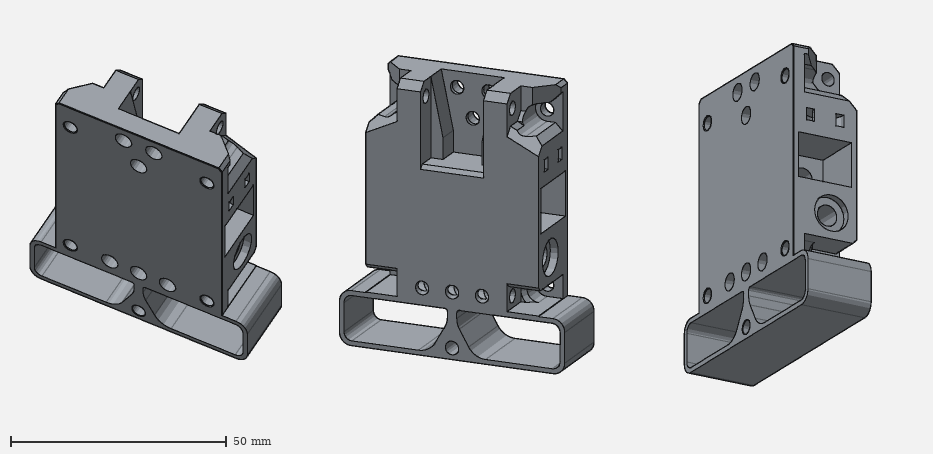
import cadquery as cq
import math

height = 66.5
depth = 17.0
body_width = 43.9
handle_width = 57.2
handle_height = 13.5
body_half = body_width / 2

handle_wall = 1.2
handle_inner_radius = 2
handle_outer_radius = 3.0
pick = 0.05
post_half = 1.2
post_bend_z = 8.9
post_flare_angle = 30
post_top_radius = 0.65
post_bend_radius = 5.0
post_foot_radius = 5.0

body_corner_chamfer = 0.9
front_edge_chamfer = 0.165

slot_half = 8
slot_front = 5.05
slot_floor = 46.55
slot_edge_chamfer = 1.0
wedge_width = 3.05
wedge_height = 14.6
wedge_back = 11.05

ear_half = 13.95
ear_front = 9.05
ear_chamfer = 2
recess_front = 3.0
screw_x = 17.95
upper_screw_z = 59.45
lower_screw_z = 16.55
screw_clearance_radius = 2.9
recess_lip = 1.85
shoulder_rise = 3.8
ear_slope = 2
lid_corner = 5.05
lower_edge_chamfer = 1.0
lower_cone_depth = 1.1

hole_dia = 3.3
insert_dia = 4.25
insert_depth = 4
corner_rim_dia = 3.7
base_rim_dia = 3.6
ear_hole_y = 13.9
upper_ear_hole_z = 62.5
base_hole_z = 2.85
upper_pair_x = 4
upper_pair_z = 62.5
upper_middle_z = 55.45
lower_row_x = 7.6

bolt_dia = 5.2
bolt_head_dia = 9.0
bolt_head_depth = 2
bolt_y = 10.2
upper_bolt_z = 38.9
lower_bolt_z = 25.95
window_front = 1.4
window_back = 15.6
window_height = 11.1
window_depth = 13.3
tie_y = 8.5
tie_outer_radius = 5.0
tie_inner_radius = 2.9
tie_bottom = 47.9
tie_height = 3.0


def box(x0, x1, y0, y1, z0, z1):
    """Box between two opposite corners."""
    return cq.Workplane("XY").box(x1 - x0, y1 - y0, z1 - z0, centered=False).translate((x0, y0, z0))


def along_y(profile, y0, y1):
    """Extrude a profile drawn in X and Z from y0 back to y1."""
    return profile.extrude(y0 - y1).translate((0, y0, 0))


def prism_x(points, x0, x1):
    """Prism along X over an outline of (Y, Z) points."""
    return cq.Workplane("YZ").polyline(points).close().extrude(x1 - x0).translate((x0, 0, 0))


def round_y(x, z, radius, y0, y1):
    """Round bar along Y."""
    return along_y(cq.Workplane("XZ").center(x, z).circle(radius), y0, y1)


def round_x(y, z, dia, x0, x1):
    """Round bar along X."""
    return cq.Workplane("YZ").center(y, z).circle(dia / 2).extrude(x1 - x0).translate((x0, 0, 0))


def both_sides(shape):
    return shape.union(shape.mirror("YZ"))


def handle():
    frame = box(-handle_width / 2, handle_width / 2, 0, depth, 0, handle_height)
    frame = frame.edges("|Y").fillet(handle_outer_radius)
    outer = handle_width / 2 - handle_wall
    top = handle_height - handle_wall
    foot = post_half + (post_bend_z - handle_wall) * math.tan(math.radians(post_flare_angle))
    window = along_y(
        cq.Workplane("XZ")
        .polyline([(outer, handle_wall), (outer, top), (post_half, top),
                   (post_half, post_bend_z), (foot, handle_wall)])
        .close(), 0, depth)
    window = window.edges("|Y and >X").fillet(handle_inner_radius)
    rounded = [(post_half, top, post_top_radius), (post_half, post_bend_z, post_bend_radius),
               (foot, handle_wall, post_foot_radius)]
    for x, z, radius in rounded:
        corner = cq.selectors.BoxSelector((x - pick, -pick, z - pick), (x + pick, depth + pick, z + pick))
        window = window.edges("|Y").edges(corner).fillet(radius)
    return frame.cut(both_sides(window))


def body():
    block = box(-body_half, body_half, 0, depth, handle_height, height)
    block = block.edges("|Y and >Z").chamfer(body_corner_chamfer)
    return block.faces("<Y").edges("not <Z").chamfer(front_edge_chamfer)


def top_slot():
    slot = box(-slot_half, slot_half, slot_front, depth, slot_floor, height)
    wedge = along_y(
        cq.Workplane("XZ")
        .polyline([(slot_half, height), (slot_half - wedge_width, height - wedge_height),
                   (slot_half - wedge_width, slot_floor), (slot_half, slot_floor)])
        .close(), slot_front, wedge_back)
    edge = prism_x([(depth, slot_floor), (depth, slot_floor - slot_edge_chamfer),
                    (depth - slot_edge_chamfer, slot_floor)], -slot_half, slot_half)
    return slot.cut(both_sides(wedge)).union(edge)


def upper_recess():
    """Relief outside one ear: screw clearance, ear side and slanted lid corner."""
    floor = upper_screw_z - screw_clearance_radius
    ceiling = upper_screw_z + screw_clearance_radius
    lip_x = body_half - recess_lip
    clearance = along_y(
        cq.Workplane("XZ")
        .moveTo(body_half, floor - recess_lip).lineTo(lip_x, floor).lineTo(screw_x, floor)
        .threePointArc((screw_x - screw_clearance_radius, upper_screw_z), (screw_x, ceiling))
        .lineTo(lip_x, ceiling).lineTo(body_half, ceiling + recess_lip).close(), recess_front, depth)

    shoulder_outer = floor - recess_lip
    shoulder_inner = shoulder_outer + shoulder_rise
    ear_side = along_y(
        cq.Workplane("XZ")
        .polyline([(ear_half, height), (ear_half, shoulder_inner), (screw_x, floor),
                   (lip_x, floor), (body_half, floor), (body_half, height)])
        .close(), ear_front, depth)
    ramp = prism_x([(ear_front, shoulder_inner + ear_slope), (ear_front + ear_slope, shoulder_inner),
                    (ear_front + ear_slope, floor), (ear_front, floor)], ear_half, screw_x)

    lid_edge = (
        cq.Workplane("XY").workplane(offset=upper_screw_z)
        .polyline([(body_half, ear_front - lid_corner), (body_half, ear_front),
                   (body_half - lid_corner, ear_front)])
        .close().extrude(height - upper_screw_z))

    outline = [(depth - ear_chamfer, 0), (depth, -ear_chamfer), (depth, ear_chamfer),
               (depth - 2 * ear_chamfer, ear_chamfer)]
    shoulder_edge = (
        cq.Workplane("YZ", origin=(ear_half, 0, shoulder_inner)).polyline(outline).close()
        .workplane(offset=body_half - ear_half)
        .polyline([(y, z - shoulder_rise) for y, z in outline]).close().loft(ruled=True))
    return clearance.union(ear_side.cut(ramp)).union(lid_edge).union(shoulder_edge)


def lower_recess():
    """Relief below the body side, over the handle."""
    top = lower_screw_z + screw_clearance_radius
    bottom = lower_screw_z - screw_clearance_radius
    clearance = round_y(screw_x, lower_screw_z, screw_clearance_radius, recess_front, depth)
    clearance = clearance.union(box(screw_x, body_half, recess_front, depth, bottom, top))
    cone = cq.Workplane(cq.Solid.makeCone(
        screw_clearance_radius, screw_x - ear_half, lower_cone_depth,
        cq.Vector(screw_x, ear_front - lower_cone_depth, lower_screw_z), cq.Vector(0, 1, 0)))
    clearance = clearance.union(cone.intersect(box(ear_half, body_half, 0, depth, bottom, top)))
    ear_side = box(ear_half, body_half, ear_front, depth, bottom, top)
    edge = prism_x([(depth, top), (depth, top + lower_edge_chamfer), (depth - lower_edge_chamfer, top)],
                   ear_half, body_half)
    return clearance.union(ear_side).union(edge)


def ear_back_chamfer():
    return prism_x([(depth, height), (depth - ear_chamfer, height), (depth, height - ear_chamfer)],
                   -body_half, body_half)


def rimmed_hole(x, z, rim_dia):
    """Through hole along Y with a small 45 degree chamfer on the front face."""
    rim_depth = (rim_dia - hole_dia) / 2
    rim = cq.Solid.makeCone(rim_dia / 2, hole_dia / 2, rim_depth, cq.Vector(x, 0, z), cq.Vector(0, 1, 0))
    return round_y(x, z, hole_dia / 2, 0, depth).union(cq.Workplane(rim))


def insert_hole(x, z):
    """Through hole along Y with a wider seat for a threaded insert at the front."""
    return round_y(x, z, hole_dia / 2, 0, depth).union(round_y(x, z, insert_dia / 2, 0, insert_depth))


def front_holes():
    holes = rimmed_hole(0, base_hole_z, base_rim_dia)
    for x in (-screw_x, screw_x):
        for z in (lower_screw_z, upper_screw_z):
            holes = holes.union(rimmed_hole(x, z, corner_rim_dia))
    inserts = [(-upper_pair_x, upper_pair_z), (upper_pair_x, upper_pair_z), (0, upper_middle_z),
               (-lower_row_x, lower_screw_z), (0, lower_screw_z), (lower_row_x, lower_screw_z)]
    for x, z in inserts:
        holes = holes.union(insert_hole(x, z))
    return holes


def cross_holes():
    """Holes along X: ear pins, a bolt with a seat for its head at each side, and a bolt between windows."""
    holes = round_x(bolt_y, upper_bolt_z, bolt_dia, -body_half, body_half)
    holes = holes.union(round_x(bolt_y, lower_bolt_z, bolt_dia, -body_half, body_half))
    for z in (lower_screw_z, upper_ear_hole_z):
        holes = holes.union(round_x(ear_hole_y, z, hole_dia, -body_half, body_half))
    seat = round_x(bolt_y, lower_bolt_z, bolt_head_dia, body_half - bolt_head_depth, body_half)
    window = box(body_half - window_depth, body_half, window_front, window_back,
                 upper_bolt_z - window_height / 2, upper_bolt_z + window_height / 2)
    return holes.union(both_sides(seat.union(window)))


def tie_loop():
    """Curved channel for a cable tie, entering and leaving through one side."""
    return (
        cq.Workplane("XY", origin=(body_half, tie_y, tie_bottom))
        .circle(tie_outer_radius).circle(tie_inner_radius).extrude(tie_height))


result = (
    body()
    .cut(top_slot())
    .cut(both_sides(upper_recess()))
    .cut(both_sides(lower_recess()))
    .cut(ear_back_chamfer())
    .cut(both_sides(tie_loop()))
    .union(handle())
    .cut(front_holes())
    .cut(cross_holes())
)